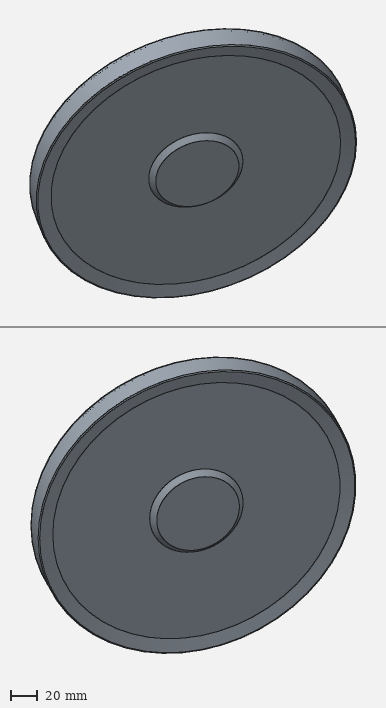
import cadquery as cq

disc_radius = 124.0
disc_half_thickness = 7.8
hub_half_width = 12.0
hub_face_radius = 32.5
hub_base_radius = hub_face_radius + (hub_half_width - disc_half_thickness)

tyre_radius = 125.0
tyre_half_width = 10.0
tyre_lip_radius = 113.0
tyre_chamfer_depth = 1.0
tyre_chamfer_width = 0.8


def revolve_about_x(profile):
    """Revolve a closed (axial, radial) outline about the X axis."""
    return cq.Workplane("XY").polyline(profile).close().revolve(360, (0, 0, 0), (1, 0, 0))


def make_disc():
    """Solid flat disc with a bevelled hub boss on each face."""
    half_outline = [
        (hub_half_width, 0),
        (hub_half_width, hub_face_radius),
        (disc_half_thickness, hub_base_radius),
        (disc_half_thickness, disc_radius),
    ]
    mirrored = [(-x, radius) for x, radius in reversed(half_outline)]
    return revolve_about_x(half_outline + mirrored)


def make_tyre():
    """C-shaped tyre over the disc edge; its flanges taper to a thin lip on each disc face."""
    half_outline = [
        (disc_half_thickness, disc_radius),
        (disc_half_thickness, tyre_lip_radius),
        (tyre_half_width, tyre_radius - tyre_chamfer_depth),
        (tyre_half_width - tyre_chamfer_width, tyre_radius),
    ]
    mirrored = [(-x, radius) for x, radius in reversed(half_outline)]
    return revolve_about_x(half_outline + mirrored)


disc = make_disc()
tyre = make_tyre()

result = cq.Compound.makeCompound([disc.val(), tyre.val()])